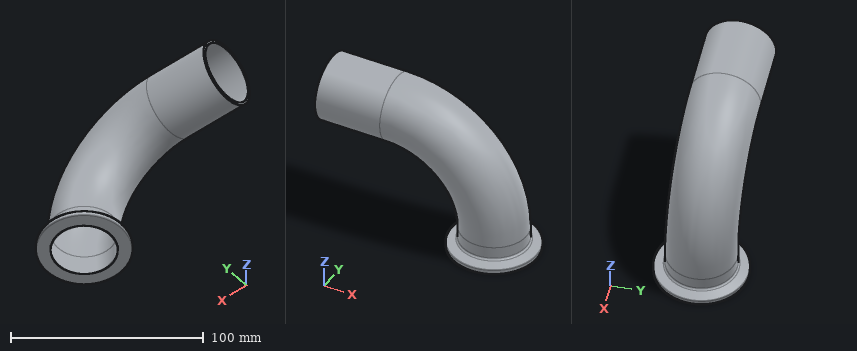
import cadquery as cq
import math

overall_length = 120.5
overall_height = 88.9
tube_diameter = 38.1
bore_diameter = 34.8
bend_radius = 57.1
flange_diameter = 50.3
rim_height = 2.9
flange_slope = 20.0
neck_fillet = 1.3
rim_fillet = 0.4
selection_margin = 0.1

tube_radius = tube_diameter / 2
flange_radius = flange_diameter / 2
inlet_length = overall_length - bend_radius - flange_radius
outlet_length = overall_height - bend_radius - tube_radius
slope_height = (flange_radius - tube_radius) * math.tan(math.radians(flange_slope))
neck_height = rim_height + slope_height


def elbow(diameter):
    """Solid round bar: vertical outlet, 90 degree bend, horizontal inlet towards -X.

    The outlet stands on the origin with its axis along Z.
    """
    axis_height = outlet_length + bend_radius
    outlet = cq.Workplane("XY").circle(diameter / 2).extrude(outlet_length)
    bend = (
        cq.Workplane("XY", origin=(0, 0, outlet_length))
        .circle(diameter / 2)
        .revolve(90, (-bend_radius, 0), (-bend_radius, -1))
    )
    inlet = (
        cq.Workplane("YZ", origin=(-bend_radius, 0, axis_height))
        .circle(diameter / 2)
        .extrude(-inlet_length)
    )
    return outlet.union(bend).union(inlet)


def flange():
    """Clamp flange with a straight rim and a back face sloping up to the tube."""
    return (
        cq.Workplane("XZ")
        .moveTo(0, 0)
        .lineTo(flange_radius, 0)
        .lineTo(flange_radius, rim_height)
        .lineTo(tube_radius, neck_height)
        .lineTo(0, neck_height)
        .close()
        .revolve(360, (0, 0), (0, 1))
    )


def circle_at(radius, height):
    """Selector for the circular edge of the given radius at the given height around Z."""
    reach = radius + selection_margin
    return cq.selectors.BoxSelector(
        (-reach, -reach, height - selection_margin),
        (reach, reach, height + selection_margin),
        boundingbox=True,
    )


body = elbow(tube_diameter).union(flange())
body = body.edges(circle_at(tube_radius, neck_height)).fillet(neck_fillet)
for rim_edge_height in (0, rim_height):
    body = body.edges(circle_at(flange_radius, rim_edge_height)).fillet(rim_fillet)
result = body.cut(elbow(bore_diameter))